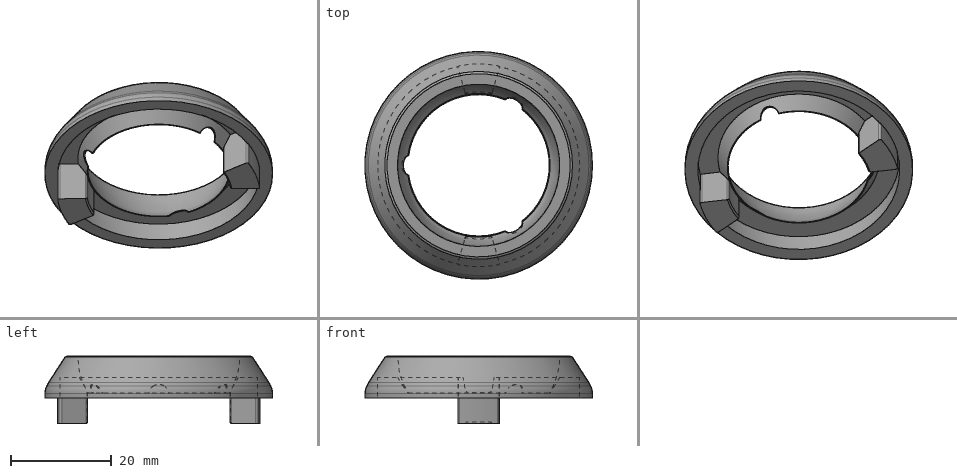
import cadquery as cq
import math

outer_radius = 22.65
ring_height = 8.4
rim_height = 0.95
rim_curve_top = 2.4
rim_curve_radius = 22.3
cone_base_height = 3.13
cone_base_radius = 21.93
cone_top_height = 8.15
cone_top_radius = 18.65
top_face_radius = 18.2

bore_top_radius = 16.13
lip_radius = 14.05
lip_height = 1.05
lip_thickness = 0.2

recess_outer_radius = 20.05
recess_depth = 4.08
recess_roof_inner_radius = 16.1

notch_radius = 1.95
notch_centre_height = 0.8
notch_depth_radius = 17.2
notch_angles = (60, 180, 300)

foot_length = 5.05
foot_outer_radius = 20.15
foot_inner_radius = 14.3
foot_outer_width = 8.43
foot_inner_width = 5.15
foot_corner_radius = 0.4
foot_chamfer = 0.3
foot_angles = (0, 180)


def revolve_section(section):
    """Turn a closed section, drawn as radius and height, about Z."""
    return section.revolve(360, (0, 0, 0), (0, 1, 0))


def make_body():
    """Solid disc with the sloping outside of the ring."""
    section = (
        cq.Workplane("XZ")
        .lineTo(outer_radius, 0)
        .lineTo(outer_radius, rim_height)
        .tangentArcPoint((rim_curve_radius, rim_curve_top), relative=False)
        .lineTo(cone_base_radius, cone_base_height)
        .lineTo(cone_top_radius, cone_top_height)
        .lineTo(top_face_radius, ring_height)
        .lineTo(0, ring_height)
        .close()
    )
    return revolve_section(section)


def make_bore():
    """Cutter for the bore, whose wall is an arc tangent to vertical at the top."""
    rise = ring_height - lip_height
    narrowing = bore_top_radius - lip_radius
    arc_radius = (rise**2 + narrowing**2) / (2 * narrowing)
    half_angle = math.asin(rise / arc_radius) / 2
    arc_middle = (
        bore_top_radius - arc_radius * (1 - math.cos(half_angle)),
        ring_height - arc_radius * math.sin(half_angle),
    )
    section = (
        cq.Workplane("XZ")
        .moveTo(0, lip_height)
        .lineTo(lip_radius, lip_height)
        .threePointArc(arc_middle, (bore_top_radius, ring_height))
        .lineTo(0, ring_height)
        .close()
    )
    return revolve_section(section)


def make_recess():
    """Cutter for the underside, open from the axis up to the lip."""
    section = (
        cq.Workplane("XZ")
        .lineTo(recess_outer_radius, 0)
        .lineTo(recess_outer_radius, recess_depth)
        .lineTo(recess_roof_inner_radius, recess_depth)
        .lineTo(lip_radius + lip_thickness, lip_height)
        .lineTo(0, lip_height)
        .close()
    )
    return revolve_section(section)


def make_notch(angle):
    """Radial cylinder that opens one notch in the bore wall."""
    cutter = cq.Workplane("YZ").center(0, notch_centre_height).circle(notch_radius).extrude(notch_depth_radius)
    return cutter.rotate((0, 0, 0), (0, 0, 1), angle)


def arc_edge_y(radius, width):
    """Y of the ends of an arc of this width centred on the -Y axis."""
    return -math.sqrt(radius**2 - (width / 2) ** 2)


def make_foot(angle):
    """Foot with inner and outer faces concentric with the ring and tapered sides."""
    outer_y = arc_edge_y(foot_outer_radius, foot_outer_width)
    inner_y = arc_edge_y(foot_inner_radius, foot_inner_width)
    foot = (
        cq.Workplane("XY")
        .workplane(offset=-foot_length)
        .moveTo(-foot_outer_width / 2, outer_y)
        .threePointArc((0, -foot_outer_radius), (foot_outer_width / 2, outer_y))
        .lineTo(foot_inner_width / 2, inner_y)
        .threePointArc((0, -foot_inner_radius), (-foot_inner_width / 2, inner_y))
        .close()
        .extrude(foot_length + recess_depth)
        .edges("|Z")
        .fillet(foot_corner_radius)
    )
    bevel = cq.Workplane("XY").circle(foot_inner_radius + foot_chamfer).extrude(foot_chamfer, taper=45)
    foot = foot.cut(bevel.translate((0, 0, -foot_length)))
    return foot.rotate((0, 0, 0), (0, 0, 1), angle)


result = make_body().cut(make_recess())
for foot_angle in foot_angles:
    result = result.union(make_foot(foot_angle))
result = result.cut(make_bore())
for notch_angle in notch_angles:
    result = result.cut(make_notch(notch_angle))